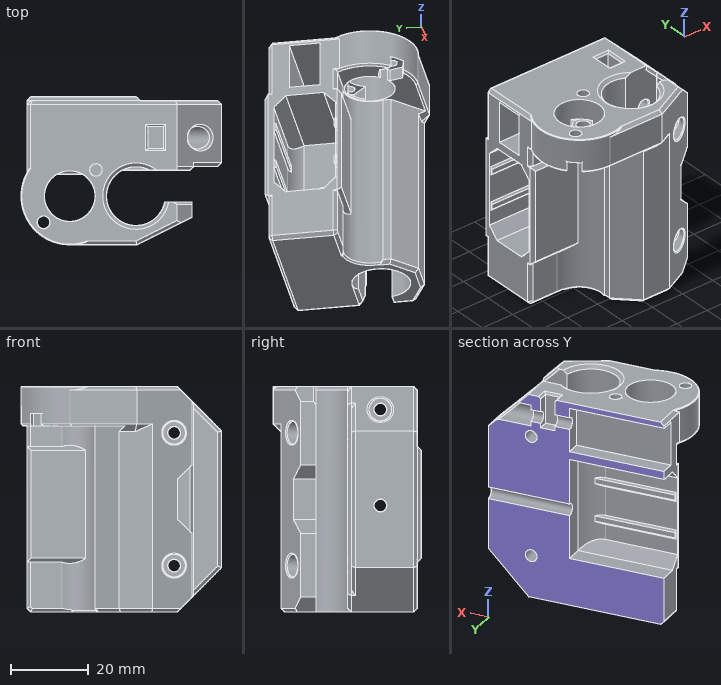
import cadquery as cq
import math


height = 58.0
bevel = 1.0
left_x = -28.0
right_x = 22.0
back_y = 24.55
tail_front_y = 7.6
front_y = tail_front_y - bevel
corner_cut = 11.4
step_x = 14.85
channel_y = 15.0

screw_x = -17.0
collar_radius = 12.5
collar_rim_bevel = 0.2
collar_under_bevel = 0.5
collar_bottom = 48.4
screw_bore = 13.0
groove_radius = 6.9
groove_bevel = 0.45
collar_hole = 3.2
collar_hole_offset = 9.5 / math.sqrt(2)
open_nut_width = 7.2
open_nut_top = 51.0
slot_nut_across = 5.5
slot_nut_top = 52.0
slot_nut_floor = 48.4
slot_nut_hole = 3.7
slot_nut_hole_depth = 5.8

bore_radius = 7.55
clamp_apothem = 10.5
clamp_corner = clamp_apothem * math.tan(math.radians(22.5))
clamp_side_y = -2.3
clamp_tip_x = 14.45
slant_slope = 0.5
slant_start_x = 0.25
gap_y = -1.45
gap_bevel = 0.7

clamp_screw_x = 9.8
clamp_screw_spread = 34.1
screw_hole = 3.2
screw_head = 5.8
clamp_head_floor_y = -4.05
clamp_head_bevel = 0.3
screw_mouth_bevel = 0.26
notch_x = 10.75
notch_half_bottom = 5.2
notch_half_mouth = 8.8

plate_height = 1.05
plate_bottom = 12.8
plate_top = 42.6
back_plate_end_x = 1.1
front_plate_end_x = -10.75

cavity_width = 16.1
cavity_bottom = 13.5
cavity_top = 41.7
cavity_corner = 3.15
cavity_end_x = -1.15
rail_heights = (22.3, 33.05)
rail_base = 2.55
rail_thickness = 0.5
rail_inset = 0.45
pocket_width = 8.0
pocket_bottom = 44.1
pocket_top = 56.3
upper_screw_z = 52.0
lower_screw_z = 27.4
upper_head_floor_x = 9.85
upper_head_bevel = 0.5

nut_slot_x = 5.05
nut_slot_length = 4.0
nut_slot_width = 5.6
nut_slot_floor = 49.2
nut_slot_bevel = 0.55

overshoot = 0.6
collar_join_y = math.sqrt(collar_radius**2 - (left_x - screw_x) ** 2)
block_depth = back_y - tail_front_y
slant_start_y = -collar_radius
tip_front_y = slant_start_y + slant_slope * (clamp_tip_x - slant_start_x)
clamp_mouth_y = slant_start_y + slant_slope * (clamp_screw_x - slant_start_x)
slant_end_x = slant_start_x + (collar_radius - clamp_apothem) / slant_slope


def cylinder_z(x, y, radius, bottom, top):
    return cq.Workplane("XY").workplane(offset=bottom).center(x, y).circle(radius).extrude(top - bottom)


def cylinder_x(y, z, radius, start, end):
    return cq.Workplane("YZ").workplane(offset=start).center(y, z).circle(radius).extrude(end - start)


def cylinder_y(x, z, radius, start, end):
    return cq.Workplane("XZ").workplane(offset=-start).center(x, z).circle(radius).extrude(start - end)


def cone_z(x, y, radius_bottom, radius_top, bottom, depth):
    base = cq.Vector(x, y, bottom)
    return cq.Workplane(cq.Solid.makeCone(radius_bottom, radius_top, depth, base, cq.Vector(0, 0, 1)))


def cone_y(x, z, radius_start, radius_end, start, depth):
    base = cq.Vector(x, start, z)
    return cq.Workplane(cq.Solid.makeCone(radius_start, radius_end, depth, base, cq.Vector(0, 1, 0)))


def box(x, y, z):
    """Box between two limits on each axis."""
    size = (x[1] - x[0], y[1] - y[0], z[1] - z[0])
    return cq.Workplane("XY").box(*size, centered=False).translate((x[0], y[0], z[0]))


def side_outline(end_x, y):
    """Outline seen along Y, with bevelled left corners and both right corners cut at 45 degrees."""
    cut_x = right_x - corner_cut
    drop = end_x - cut_x
    points = [
        (left_x + bevel, 0), (cut_x, 0), (end_x, drop), (end_x, height - drop),
        (cut_x, height), (left_x + bevel, height), (left_x, height - bevel), (left_x, bevel),
    ]
    return cq.Workplane("XZ").workplane(offset=-y).polyline(points).close()


def make_block():
    block = side_outline(right_x, back_y).extrude(block_depth)
    block = block.faces(">Y").edges().chamfer(bevel)
    tail_edges = cq.selectors.BoxSelector(
        (right_x - corner_cut, tail_front_y - overshoot, bevel / 2),
        (right_x + overshoot, tail_front_y + overshoot, height - bevel / 2),
    )
    block = block.edges(tail_edges).chamfer(bevel)
    root_depth = 1.75
    pad = side_outline(step_x, tail_front_y).extrude(bevel, taper=45)
    root = side_outline(step_x, tail_front_y + root_depth).extrude(root_depth)
    root = root.intersect(box((0, step_x), (front_y, back_y), (0, height)))
    top_fill = box(
        (screw_x, right_x - corner_cut), (front_y, tail_front_y + root_depth), (collar_bottom, height)
    )
    corner_fill = box((left_x, screw_x), (collar_join_y, tail_front_y + root_depth), (collar_bottom, height))
    corner_fill = corner_fill.faces("<X").edges(">Z").chamfer(bevel)
    return block.union(pad).union(root).union(top_fill).union(corner_fill)


def make_clamp():
    """Octagonal clamp below the collar."""
    outline = [
        (screw_x, tail_front_y), (screw_x, clamp_side_y),
        (-clamp_apothem, clamp_side_y), (-clamp_apothem, -clamp_corner),
        (-clamp_corner, -clamp_apothem), (slant_end_x, -clamp_apothem),
        (clamp_tip_x, tip_front_y), (clamp_tip_x, front_y), (0, front_y), (0, tail_front_y),
    ]
    clamp = cq.Workplane("XY").polyline(outline).close().extrude(height - bevel)
    outer_edges = cq.selectors.BoxSelector(
        (screw_x - overshoot, -collar_radius, -overshoot),
        (clamp_tip_x + overshoot, front_y - overshoot, overshoot),
    )
    return clamp.faces("<Z").edges(outer_edges).chamfer(bevel)


def collar_front():
    """Outline of the straight-sided part of the collar."""
    points = [
        (screw_x, slant_start_y), (slant_start_x, slant_start_y),
        (clamp_tip_x, tip_front_y), (clamp_tip_x, front_y), (screw_x, front_y),
    ]
    return cq.Workplane("XY").workplane(offset=collar_bottom).polyline(points).close()


def make_collar():
    thickness = height - collar_bottom
    plate = collar_front().extrude(thickness)
    front_edges = cq.selectors.BoxSelector(
        (screw_x, slant_start_y - overshoot, height - overshoot),
        (clamp_tip_x - overshoot, 0, height + overshoot),
    )
    plate = plate.edges(front_edges).chamfer(bevel)
    disc = cylinder_z(screw_x, 0, collar_radius, collar_bottom - collar_under_bevel, height)
    disc = disc.faces(">Z").chamfer(collar_rim_bevel).faces("<Z").chamfer(collar_under_bevel)
    lip = collar_front().extrude(-collar_under_bevel, taper=45)
    flare = collar_front().extrude(-(collar_radius - clamp_apothem), taper=45)
    side_sum = -clamp_apothem - clamp_corner
    limit = cq.Workplane("XY").polyline([
        (-clamp_apothem, -clamp_corner), (side_sum + height, -height), (height, -height),
        (height, -clamp_corner),
    ]).close().extrude(height)
    return plate.union(disc).union(lip).union(flare.intersect(limit))


def make_plate(end_x, y, direction):
    """Raised plate on a block side, bevelled all round."""

    def outline(grow):
        plane_y = y + direction * grow
        plane = cq.Plane(origin=(0, plane_y, 0), xDir=(direction, 0, 0), normal=(0, -direction, 0))
        corners = [
            (left_x - grow, plate_bottom - grow), (end_x + grow, plate_bottom - grow),
            (end_x + grow, plate_top + grow), (left_x - grow, plate_top + grow),
        ]
        return cq.Workplane(plane).polyline([(direction * x, z) for x, z in corners]).close()

    raised = outline(0).extrude(plate_height, taper=45)
    root = outline(0).extrude(-bevel)
    sunk = outline(bevel).extrude(plate_height + bevel, taper=45)
    inner_side = box((left_x + bevel, right_x), (-height, height), (0, height))
    return raised.union(root).union(sunk.intersect(inner_side))


def cut_clamp_gap(part):
    gap_end = right_x + overshoot
    clearance = box((0, gap_end), (gap_y, front_y), (-overshoot, height + overshoot))
    right_of_tip = box(
        (clamp_tip_x, gap_end), (-collar_radius, front_y), (-overshoot, height + overshoot)
    )
    part = part.cut(clearance).cut(right_of_tip)
    corner_edges = cq.selectors.BoxSelector(
        (bore_radius, gap_y - 0.05, height / 2),
        (clamp_tip_x - 0.05, gap_y + 0.05, height + overshoot),
    )
    return part.edges(corner_edges).chamfer(gap_bevel)


def bearing_bore():
    """Bore with a bevelled mouth, flattened along the front wall of the cavity."""
    bore = cylinder_z(0, 0, bore_radius, -overshoot, height + overshoot)
    flat = box((-bore_radius, bore_radius), (front_y, bore_radius), (plate_bottom, plate_top))
    mouth = cone_z(0, 0, bore_radius, bore_radius + bevel, height - bevel, bevel)
    return bore.cut(flat).union(mouth)


def cut_clamp_screws(part):
    for side in (-1, 1):
        z = height / 2 + side * clamp_screw_spread / 2
        part = part.cut(cylinder_y(clamp_screw_x, z, screw_hole / 2, -collar_radius, back_y + overshoot))
        mouth_radius = screw_hole / 2 + screw_mouth_bevel
        part = part.cut(cone_y(clamp_screw_x, z, mouth_radius, screw_hole / 2, front_y, screw_mouth_bevel))
        part = part.cut(cylinder_y(clamp_screw_x, z, screw_head / 2, -collar_radius, clamp_head_floor_y))
        head_mouth = cq.selectors.BoxSelector(
            (clamp_screw_x - 0.6, clamp_mouth_y - 0.6, z - 0.6), (clamp_screw_x + 0.6, clamp_mouth_y + 0.6, z + 0.6)
        )
        part = part.edges(head_mouth).chamfer(clamp_head_bevel)
    return part


def tip_notch():
    middle = height / 2
    points = [
        (notch_x, middle - notch_half_bottom), (clamp_tip_x, middle - notch_half_mouth),
        (clamp_tip_x, middle + notch_half_mouth), (notch_x, middle + notch_half_bottom),
    ]
    return cq.Workplane("XZ").workplane(offset=-gap_y).polyline(points).close().extrude(collar_radius)


def cut_collar_holes(part):
    under = collar_bottom - collar_under_bevel
    part = part.cut(cylinder_z(screw_x, 0, screw_bore / 2, under, height))
    diagonal_turn = 45
    front = (screw_x - collar_hole_offset, -collar_hole_offset, 0)
    part = part.cut(cylinder_z(front[0], front[1], collar_hole / 2, under, height))
    seat = cq.Workplane("XY").polygon(6, open_nut_width).extrude(open_nut_top - under)
    seat = seat.rotate((0, 0, 0), (0, 0, 1), diagonal_turn + 30)
    part = part.cut(seat.translate((front[0], front[1], under)))
    rear = (screw_x + collar_hole_offset, collar_hole_offset, 0)
    part = part.cut(cylinder_z(rear[0], rear[1], collar_hole / 2, slot_nut_floor, height))
    part = part.cut(
        cylinder_z(rear[0], rear[1], slot_nut_hole / 2, slot_nut_floor - slot_nut_hole_depth, slot_nut_floor)
    )
    slot_height = slot_nut_top - slot_nut_floor
    nut = cq.Workplane("XY").polygon(6, slot_nut_across / math.cos(math.radians(30))).extrude(slot_height)
    reach = collar_hole_offset * math.sqrt(2)
    entry = cq.Workplane("XY").rect(reach, slot_nut_across).extrude(slot_height).translate((-reach / 2, 0, 0))
    slot = nut.union(entry).rotate((0, 0, 0), (0, 0, 1), diagonal_turn)
    return part.cut(slot.translate((rear[0], rear[1], slot_nut_floor)))


def cavity():
    """Octagonal cavity open to the left, with a rounded far end and two rails on each wall."""
    length = cavity_end_x - left_x
    room = cq.Workplane("YZ").workplane(offset=left_x).center(channel_y, (cavity_bottom + cavity_top) / 2)
    room = room.rect(cavity_width, cavity_top - cavity_bottom).extrude(length)
    room = room.edges("|X").chamfer(cavity_corner)
    radius = cavity_width / 2
    half_flat = radius - cavity_corner
    round_x = cavity_end_x - math.sqrt(radius**2 - half_flat**2)
    straight = box((left_x, round_x), (channel_y - radius, channel_y + radius), (0, height))
    room = room.intersect(straight.union(cylinder_z(round_x, channel_y, radius, 0, height)))
    for side in (-1, 1):
        wall_y = channel_y + side * cavity_width / 2
        for z in rail_heights:
            crest = rail_base / 2 - rail_thickness
            points = [
                (wall_y, z - rail_base / 2), (wall_y - side * rail_thickness, z - crest),
                (wall_y - side * rail_thickness, z + crest), (wall_y, z + rail_base / 2),
            ]
            rail = cq.Workplane("YZ").workplane(offset=left_x + rail_inset).polyline(points).close()
            room = room.cut(rail.extrude(length))
    return room


def cut_cross_features(part):
    part = part.cut(cavity())
    half_pocket = pocket_width / 2
    part = part.cut(box(
        (left_x, cavity_end_x), (channel_y - half_pocket, channel_y + half_pocket), (pocket_bottom, pocket_top)
    ))
    for z in (lower_screw_z, upper_screw_z):
        part = part.cut(cylinder_x(channel_y, z, screw_hole / 2, cavity_end_x - overshoot, right_x + overshoot))
    part = part.cut(cylinder_x(channel_y, upper_screw_z, screw_head / 2, upper_head_floor_x, right_x))
    mouth_x = right_x - corner_cut + height - upper_screw_z
    mouth = cq.selectors.BoxSelector(
        (mouth_x - 0.6, channel_y - 0.6, upper_screw_z - 0.6), (mouth_x + 0.6, channel_y + 0.6, upper_screw_z + 0.6)
    )
    return part.edges(mouth).chamfer(upper_head_bevel)


def nut_slot():
    top = cq.Workplane("XY").workplane(offset=height).center(nut_slot_x, channel_y)
    slot = top.rect(nut_slot_length, nut_slot_width).extrude(nut_slot_floor - height)
    mouth = top.rect(nut_slot_length + 2 * nut_slot_bevel, nut_slot_width + 2 * nut_slot_bevel)
    return slot.union(mouth.extrude(-nut_slot_bevel, taper=45))


def corner_envelope():
    """Everything left of the two 45 degree corner cuts."""
    wide = side_outline(right_x, back_y + plate_height).extrude(height)
    return wide.union(box((-height, 0), (-height, back_y + plate_height), (0, height)))


groove = cylinder_z(screw_x, 0, groove_radius, 0, collar_bottom - collar_under_bevel)
groove = groove.union(cone_z(screw_x, 0, groove_radius + groove_bevel, groove_radius, 0, groove_bevel))

result = make_block().union(make_clamp()).cut(groove)
result = result.union(make_collar()).intersect(corner_envelope()).clean()
result = result.union(make_plate(back_plate_end_x, back_y, -1))
result = result.union(make_plate(front_plate_end_x, front_y, 1))
result = cut_clamp_gap(result)
result = result.cut(bearing_bore()).cut(tip_notch())
result = cut_clamp_screws(result)
result = cut_collar_holes(result)
result = cut_cross_features(result)
result = result.cut(nut_slot()).clean()